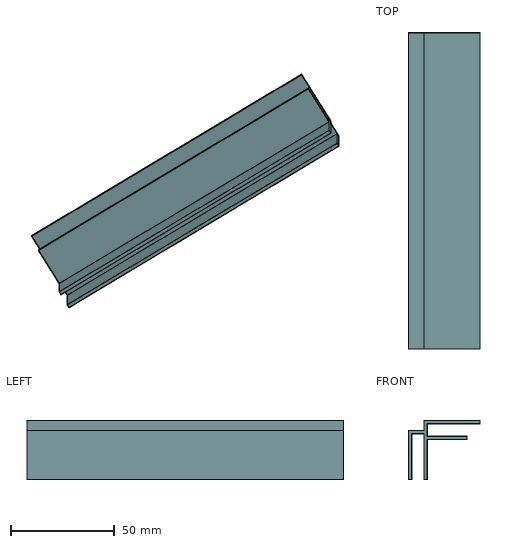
import cadquery as cq

length = 152.4
width = 34.5
height = 28.5

wall = 1.7
web_left = 7.5
step_drop = 4.9
lower_flange_drop = 7.6
lower_flange_end = 28.2


def bar(x_start, x_end, z_start, z_end):
    """Rectangular wall of the section, running the full length along Y."""
    return cq.Workplane("XY").box(
        x_end - x_start, length, z_end - z_start, centered=False
    ).translate((x_start, 0, z_start))


step_top = height - step_drop
lower_flange_top = height - lower_flange_drop

web = bar(web_left, web_left + wall, 0, height)
top_flange = bar(web_left, width, height - wall, height)
lower_flange = bar(web_left, lower_flange_end, lower_flange_top - wall, lower_flange_top)
step = bar(0, web_left + wall, step_top - wall, step_top)
outer_leg = bar(0, wall, 0, step_top)

result = web.union(top_flange).union(lower_flange).union(step).union(outer_leg)